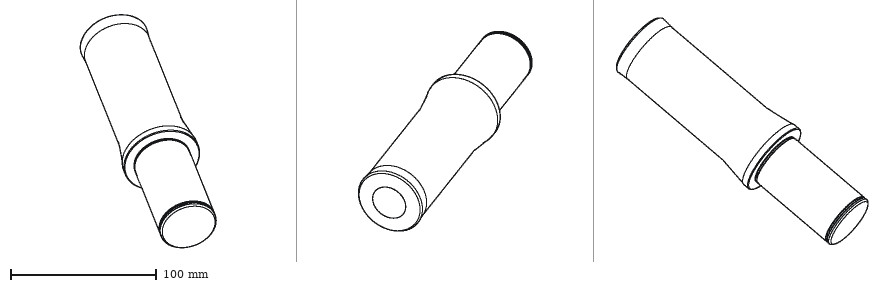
import cadquery as cq

LENGTH = 198.0

HEAD_END = 10.7
HEAD_DIAMETER = 48.3
NECK_DIAMETER = 47.0
FACE_CONE_DEPTH = 0.8
FACE_RIM_DIAMETER = 46.0
HEAD_RIM_X = 2.2

HUB_DIAMETER = 25.0
HUB_CHAMFER_WIDTH = 1.5
HUB_CHAMFER_DEPTH = 0.2

BODY_END = 100.4
CONE_START = 101.5
CONE_START_DIAMETER = 47.3
COLLAR_START = 122.8
COLLAR_END = 128.0
COLLAR_DIAMETER = 54.0
COLLAR_CHAMFER = 0.5

SHANK_DIAMETER = 40.0
GROOVE_DIAMETER = 39.5
GROOVE_WIDTH = 1.8
GROOVE_RAMP = 0.4
REAR_GROOVE_START = 193.8
SHANK_CHAMFER = 1.2


def revolve_about_x(outline):
    """Turn a closed outline of (x, radius) points about the X axis."""
    return cq.Workplane("XY").polyline(outline).close().revolve(360, (0, 0, 0), (1, 0, 0))


def make_cutting_head():
    hub_radius = HUB_DIAMETER / 2
    return revolve_about_x([
        (0, hub_radius),
        (FACE_CONE_DEPTH, FACE_RIM_DIAMETER / 2),
        (HEAD_RIM_X, HEAD_DIAMETER / 2),
        (HEAD_END, NECK_DIAMETER / 2),
        (HEAD_END, hub_radius),
    ])


def make_groove(start):
    """Ring that cuts one groove with a sloped wall at each end."""
    shank_radius = SHANK_DIAMETER / 2
    groove_radius = GROOVE_DIAMETER / 2
    end = start + GROOVE_WIDTH
    return revolve_about_x([
        (start, shank_radius),
        (start + GROOVE_RAMP, groove_radius),
        (end - GROOVE_RAMP, groove_radius),
        (end, shank_radius),
    ])


def make_holder():
    hub_radius = HUB_DIAMETER / 2
    neck_radius = NECK_DIAMETER / 2
    collar_radius = COLLAR_DIAMETER / 2
    shank_radius = SHANK_DIAMETER / 2
    holder = revolve_about_x([
        (0, 0),
        (0, hub_radius - HUB_CHAMFER_WIDTH),
        (HUB_CHAMFER_DEPTH, hub_radius),
        (HEAD_END, hub_radius),
        (HEAD_END, neck_radius),
        (BODY_END, neck_radius),
        (CONE_START, CONE_START_DIAMETER / 2),
        (COLLAR_START - COLLAR_CHAMFER, collar_radius - COLLAR_CHAMFER / 2),
        (COLLAR_START, collar_radius),
        (COLLAR_END - COLLAR_CHAMFER, collar_radius),
        (COLLAR_END, collar_radius - COLLAR_CHAMFER),
        (COLLAR_END, shank_radius),
        (LENGTH - SHANK_CHAMFER, shank_radius),
        (LENGTH, shank_radius - SHANK_CHAMFER),
        (LENGTH, 0),
    ])
    for groove_start in (COLLAR_END, REAR_GROOVE_START):
        holder = holder.cut(make_groove(groove_start))
    return holder


cutting_head = make_cutting_head()
holder = make_holder()

result = cq.Compound.makeCompound([cutting_head.val(), holder.val()])